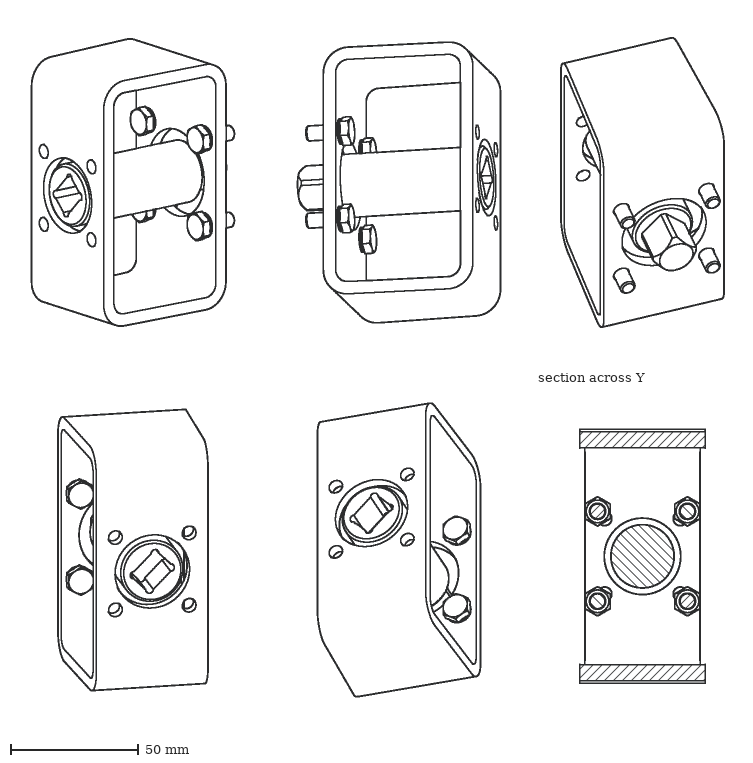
import cadquery as cq
import math

bracket_height = 100.0
bracket_depth = 60.0
bracket_rear_width = 50.0
bracket_front_width = 45.0
wall = 5.0
outer_corner_radius = 10.0
inner_corner_radius = outer_corner_radius - wall
wall_inner_y = bracket_depth - wall

holes_per_pattern = 4
first_hole_angle = 45.0
front_bore_diameter = 30.0
front_hole_diameter = 5.5
front_hole_circle = 42.0
rear_bore_diameter = 35.0
rear_hole_diameter = 6.5
rear_hole_circle = 50.0

shaft_diameter = 25.0
shaft_front_y = 0.0
shaft_shoulder_y = 59.0
shaft_end_chamfer = 1.0
drive_end_y = 75.0
drive_across_flats = 14.0
drive_across_corners = 17.9
drive_chamfer = 2.0
socket_length = 14.1
socket_width = 11.0
socket_depth = 16.0
socket_relief_radius = 1.5
flat_angle = 45.0

bolt_diameter = 6.0
bolt_length = 14.0
bolt_tip_chamfer = 0.6
head_across_flats = 10.0
head_sides = 6
head_across_corners = head_across_flats / math.cos(math.pi / head_sides)
head_height = 4.0
head_turn = 90.0
head_chamfer_angle = 30.0
bearing_face_diameter = 8.9
bearing_face_height = 0.5
washer_outer_diameter = 10.0
washer_inner_diameter = 6.4
washer_thickness = 0.7
washer_edge_thickness = 0.4


def plane_at(y):
    """Sketch plane facing +Y: local x is -X and local y is Z."""
    return cq.Workplane(cq.Plane(origin=(0, y, 0), xDir=(-1, 0, 0), normal=(0, 1, 0)))


def rod(diameter, start_y, end_y):
    """Round bar along the Y axis."""
    return plane_at(start_y).circle(diameter / 2).extrude(end_y - start_y)


def pattern_points(circle_diameter):
    """X, Z places of the holes on a pitch circle."""
    points = []
    for index in range(holes_per_pattern):
        angle = math.radians(first_hole_angle + index * 360 / holes_per_pattern)
        radius = circle_diameter / 2
        points.append((radius * math.cos(angle), radius * math.sin(angle)))
    return points


def flange_cutter(bore_diameter, hole_diameter, hole_circle, start_y):
    """Bore and hole pattern through one flange wall."""
    holes = plane_at(start_y).pushPoints(pattern_points(hole_circle)).circle(hole_diameter / 2).extrude(wall)
    return holes.union(rod(bore_diameter, start_y, start_y + wall))


def rounded_block(depth, height, corner_radius):
    """Block as wide as the bracket's rear, centred on the bracket, rounded along X."""
    block = cq.Workplane("XY").box(bracket_rear_width, depth, height)
    return block.edges("|X").fillet(corner_radius).translate((0, bracket_depth / 2, 0))


def make_bracket():
    outside = rounded_block(bracket_depth, bracket_height, outer_corner_radius)
    inside = rounded_block(bracket_depth - 2 * wall, bracket_height - 2 * wall, inner_corner_radius)
    taper = (
        cq.Workplane("XY", origin=(0, 0, -bracket_height / 2))
        .polyline([
            (-bracket_front_width / 2, 0),
            (bracket_front_width / 2, 0),
            (bracket_rear_width / 2, bracket_depth),
            (-bracket_rear_width / 2, bracket_depth),
        ])
        .close()
        .extrude(bracket_height)
    )
    front_cut = flange_cutter(front_bore_diameter, front_hole_diameter, front_hole_circle, 0)
    rear_cut = flange_cutter(rear_bore_diameter, rear_hole_diameter, rear_hole_circle, wall_inner_y)
    return outside.cut(inside).intersect(taper).cut(front_cut).cut(rear_cut)


def make_drive():
    """Square drive with its corners turned round and its tip chamfered."""
    length = drive_end_y - shaft_shoulder_y
    square = plane_at(shaft_shoulder_y).rect(drive_across_flats, drive_across_flats).extrude(length)
    square = square.rotate((0, 0, 0), (0, 1, 0), flat_angle)
    turned = rod(drive_across_corners, shaft_shoulder_y, drive_end_y).faces(">Y").chamfer(drive_chamfer)
    return square.intersect(turned)


def make_socket_cutter():
    """Rectangular socket with a round relief reaching into each corner."""
    relief_inset = socket_relief_radius / math.sqrt(2)
    pocket = plane_at(shaft_front_y).rect(socket_length, socket_width).extrude(socket_depth)
    reliefs = (
        plane_at(shaft_front_y)
        .rect(socket_length - 2 * relief_inset, socket_width - 2 * relief_inset, forConstruction=True)
        .vertices()
        .circle(socket_relief_radius)
        .extrude(socket_depth)
    )
    return pocket.union(reliefs).rotate((0, 0, 0), (0, 1, 0), -flat_angle)


def make_shaft():
    body = rod(shaft_diameter, shaft_front_y, shaft_shoulder_y).faces("<Y or >Y").chamfer(shaft_end_chamfer)
    return body.union(make_drive()).cut(make_socket_cutter())


def make_bolt():
    """Hexagon bolt on the Y axis, its bearing face resting on the washer."""
    bearing_y = wall_inner_y - washer_thickness
    top_y = bearing_y - head_height
    hex_height = head_height - bearing_face_height
    chamfer_width = (head_across_corners - head_across_flats) / 2
    chamfer_height = chamfer_width * math.tan(math.radians(head_chamfer_angle))
    hexagon = plane_at(top_y).polygon(head_sides, head_across_corners).extrude(hex_height)
    hexagon = hexagon.rotate((0, 0, 0), (0, 1, 0), head_turn)
    turned = (
        rod(head_across_corners, top_y, top_y + hex_height)
        .faces("<Y")
        .chamfer(chamfer_height, chamfer_width)
    )
    bearing_face = rod(bearing_face_diameter, top_y + hex_height, bearing_y)
    shank = rod(bolt_diameter, bearing_y, bearing_y + bolt_length).faces(">Y").chamfer(bolt_tip_chamfer)
    return hexagon.intersect(turned).union(bearing_face).union(shank)


def make_washer():
    """Conical washer on the Y axis: flat on the rear wall, thickest at its hole."""
    inner_radius = washer_inner_diameter / 2
    outer_radius = washer_outer_diameter / 2
    return (
        cq.Workplane("XY")
        .polyline([
            (inner_radius, wall_inner_y),
            (outer_radius, wall_inner_y),
            (outer_radius, wall_inner_y - washer_edge_thickness),
            (inner_radius, wall_inner_y - washer_thickness),
        ])
        .close()
        .revolve(360, (0, 0, 0), (0, 1, 0))
    )


bracket = make_bracket()
shaft = make_shaft()
bolts = []
washers = []
for x, z in pattern_points(rear_hole_circle):
    bolts.append(make_bolt().translate((x, 0, z)))
    washers.append(make_washer().translate((x, 0, z)))

result = cq.Compound.makeCompound([
    bracket.val(),
    shaft.val(),
    *[bolt.val() for bolt in bolts],
    *[washer.val() for washer in washers],
])